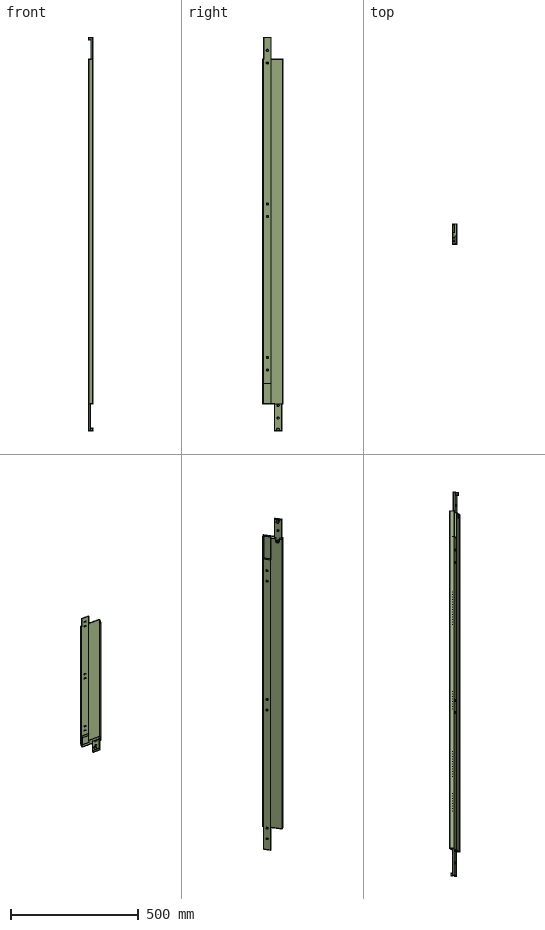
import cadquery as cq

total_length = 1539.0
thickness = 17.0
width = 80.0

housing_bottom = 106.0
housing_top = 1454.0
channel_margin = 5.0
bar_width = 30.0
bar_thickness = 8.0

bar_length = 1353.0
hole_diameter = 8.0
end_hole_offset = 51.0
hole_pair_spacing = 50.0
pair_pitch = 600.0
pair_count = 3
pin_diameter = 11.0

notch_width = 14.0
notch_center_depth = 11.0

bar_center_y = width / 2 - channel_margin - bar_width / 2
hole_offsets = [
    pair * pair_pitch + end_hole_offset + place * hole_pair_spacing
    for pair in range(pair_count)
    for place in range(2)
]


def turn_over(body):
    """Swap ends and broad faces by a half turn about Y at mid-length, then mirror front to back."""
    mid_z = total_length / 2
    return body.rotate((0, 0, mid_z), (0, 1, mid_z), 180).mirror("XZ")


def x_cylinder(diameter, y, z):
    """Cylinder along X through the full thickness."""
    return (
        cq.Workplane("YZ", origin=(-thickness / 2, y, z))
        .circle(diameter / 2)
        .extrude(thickness)
    )


def make_bar():
    """Lower bar on the -X face, with its hole pairs and a stop pin at its outer end."""
    bar = cq.Workplane("XY").box(bar_thickness, bar_width, bar_length, centered=(False, True, False))
    bar = bar.translate((-thickness / 2, bar_center_y, 0))
    for offset in hole_offsets:
        bar = bar.cut(x_cylinder(hole_diameter, bar_center_y, offset))
    return bar.union(x_cylinder(pin_diameter, bar_center_y, pin_diameter / 2))


def make_channel():
    """Channel on the -X face, open at both ends."""
    channel = cq.Workplane("XY").box(
        bar_thickness, bar_width, total_length, centered=(False, True, False)
    )
    return channel.translate((-thickness / 2, bar_center_y, 0))


def make_notch():
    """Round-ended notch in the top end of the housing, in front of the upper bar."""
    center_z = housing_top - notch_center_depth
    stem = cq.Workplane("XY").box(
        thickness, notch_width, notch_center_depth, centered=(True, True, False)
    )
    stem = stem.translate((0, -bar_center_y, center_z))
    return stem.union(x_cylinder(notch_width, -bar_center_y, center_z))


def make_housing():
    housing = cq.Workplane("XY").box(
        thickness, width, housing_top - housing_bottom, centered=(True, True, False)
    )
    housing = housing.translate((0, 0, housing_bottom))
    channel = make_channel()
    return housing.cut(channel).cut(turn_over(channel)).cut(make_notch())


housing = make_housing()
lower_bar = make_bar()
upper_bar = turn_over(make_bar())

result = cq.Compound.makeCompound([housing.val(), lower_bar.val(), upper_bar.val()])